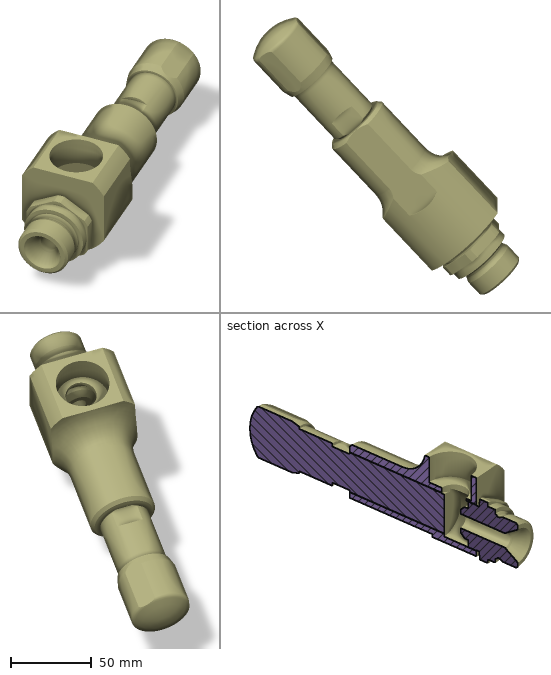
import cadquery as cq
import math


block_width = 55.0
block_top = 37.0
block_length = 41.3
turned_radius = 32.5
turned_center_z = 11.3
barrel_radius = 21.15
barrel_end = 101.2
barrel_chamfer = 2.1
flare_radius = 18.0
flare_end = block_length + flare_radius
underside_flat_z = -19.1
underside_flat_start = 35.6
cutter_radius = 25.0

port_radius = 16.6
port_depth = 18.5
port_y = 21.1
passage_radius = 9.6
passage_y = 18.1
fitting_recess_depth = 25.8

shank_radius = 14.4
stem_radius = 15.85
stem_chamfer = stem_radius - shank_radius
wrench_half_width = 13.5
wrench_flat_end = 114.6
knob_radius = 19.1
knob_start = 141.0
knob_taper_end = 146.7
knob_base_radius = 17.5
knob_straight_end = 172.6
knob_tip = 180.6
dome_radius = 31.0
dome_edge_y = 175.2
knob_flat_distance = 18.1
knob_flat_count = 3

thread_radius = 16.7
spigot_radius = 11.8
spigot_end = 12.9
nose_chamfer = 3.3
spigot_thread_end = 7.0
washer_radius = 19.6
washer_start = -1.8
hex_across_flats = 41.0
hex_turned_radius = 22.5
hex_start = -2.4
hex_end = -9.1
flange_radius = 19.75
flange_end = -14.9
collar_end = -15.6
groove_radius = 15.3
groove_start = -16.6
groove_end = -18.0
thread_start = -21.1
fitting_end = -32.9
end_chamfer = 1.5
cone_mouth_radius = 12.2
cone_depth = 9.0
cone_throat_radius = 6.2
bore_radius = 5.1
bore_lead_depth = 1.1


def turned(profile):
    """Revolve a closed profile of (radius, y) points around the Y axis."""
    return profile.close().revolve(360, (0, 0, 0), (0, 1, 0))


def cylinder_z(radius, y, bottom, top):
    """Upright cylinder centred on X = 0."""
    return cq.Workplane("XY").workplane(offset=bottom).center(0, y).circle(radius).extrude(top - bottom)


def block_outline():
    """Full-length bar with the block's cross-section: three flat sides and turned arcs."""
    half_width = block_width / 2
    top_half_width = math.sqrt(turned_radius**2 - (block_top - turned_center_z) ** 2)
    side_half_height = math.sqrt(turned_radius**2 - half_width**2)
    side_top = turned_center_z + side_half_height
    side_bottom = turned_center_z - side_half_height
    corner_angle = (math.atan2(side_half_height, half_width)
                    + math.atan2(block_top - turned_center_z, top_half_width)) / 2
    corner_x = turned_radius * math.cos(corner_angle)
    corner_z = turned_center_z + turned_radius * math.sin(corner_angle)
    return (
        cq.Workplane("XZ")
        .moveTo(-top_half_width, block_top)
        .lineTo(top_half_width, block_top)
        .threePointArc((corner_x, corner_z), (half_width, side_top))
        .lineTo(half_width, side_bottom)
        .threePointArc((0, turned_center_z - turned_radius), (-half_width, side_bottom))
        .lineTo(-half_width, side_top)
        .threePointArc((-corner_x, corner_z), (-top_half_width, block_top))
        .close()
        .extrude(-barrel_end)
    )


def barrel_envelope():
    """Turned barrel that flares out to clear the block."""
    outer_radius = block_width
    flare_offset = flare_radius * math.sqrt(0.5)
    flare_center_r = barrel_radius + flare_radius
    return turned(
        cq.Workplane("XY")
        .moveTo(0, 0)
        .lineTo(outer_radius, 0)
        .lineTo(outer_radius, block_length)
        .lineTo(flare_center_r, block_length)
        .threePointArc((flare_center_r - flare_offset, flare_end - flare_offset), (barrel_radius, flare_end))
        .lineTo(barrel_radius, barrel_end - barrel_chamfer)
        .lineTo(barrel_radius - barrel_chamfer, barrel_end)
        .lineTo(0, barrel_end)
    )


def milled_slot(start, end, bottom, top):
    """Cut of an upright cutter moved along Y, reaching from start to end at X = 0."""
    return (
        cq.Workplane("XY")
        .workplane(offset=bottom)
        .center(0, (start + end) / 2)
        .slot2D(end - start, 2 * cutter_radius, 90)
        .extrude(top - bottom)
    )


def underside_cut():
    """Flat milled under the barrel, ending in a round wall at the block."""
    return milled_slot(
        underside_flat_start, barrel_end + cutter_radius, turned_center_z - turned_radius, underside_flat_z
    )


def make_housing(cartridge_recess):
    """Block and barrel with the ports and the bores for the other two bodies."""
    port_floor = block_top - port_depth
    fitting_recess = cq.Workplane("XZ").circle(thread_radius).extrude(-fitting_recess_depth)
    return (
        block_outline()
        .intersect(barrel_envelope())
        .cut(underside_cut())
        .cut(cylinder_z(port_radius, port_y, port_floor, block_top))
        .cut(cylinder_z(passage_radius, passage_y, 0, port_floor))
        .cut(fitting_recess)
        .cut(cartridge_recess)
    )


def shank():
    """Part of the cartridge inside the housing."""
    return turned(
        cq.Workplane("XY")
        .moveTo(0, fitting_recess_depth)
        .lineTo(shank_radius, fitting_recess_depth)
        .lineTo(shank_radius, barrel_end)
        .lineTo(0, barrel_end)
    )


def stem():
    """Exposed stem with two opposite wrench flats."""
    body = turned(
        cq.Workplane("XY")
        .moveTo(0, barrel_end)
        .lineTo(shank_radius, barrel_end)
        .lineTo(stem_radius, barrel_end + stem_chamfer)
        .lineTo(stem_radius, knob_start)
        .lineTo(0, knob_start)
    )
    wrench_cut = milled_slot(
        barrel_end - 2 * cutter_radius, wrench_flat_end, wrench_half_width, stem_radius
    )
    return body.cut(wrench_cut).cut(wrench_cut.mirror("XY"))


def knob():
    """Domed knob with three grip flats."""
    dome_center_y = knob_tip - dome_radius
    dome_edge_r = math.sqrt(dome_radius**2 - (dome_edge_y - dome_center_y) ** 2)
    mid_r = dome_edge_r / 2
    mid_y = dome_center_y + math.sqrt(dome_radius**2 - mid_r**2)
    body = turned(
        cq.Workplane("XY")
        .moveTo(0, knob_start)
        .lineTo(knob_base_radius, knob_start)
        .lineTo(knob_radius, knob_taper_end)
        .lineTo(knob_radius, knob_straight_end)
        .tangentArcPoint((dome_edge_r, dome_edge_y), relative=False)
        .threePointArc((mid_r, mid_y), (0, knob_tip))
    )
    cut_depth = knob_radius - knob_flat_distance
    cut_length = knob_tip - knob_start
    for index in range(knob_flat_count):
        flat_cut = (
            cq.Workplane("XY")
            .box(cut_depth, cut_length, 2 * knob_radius, centered=(False, False, True))
            .translate((knob_flat_distance, knob_start, 0))
            .rotate((0, 0, 0), (0, 1, 0), 180 + index * 360 / knob_flat_count)
        )
        body = body.cut(flat_cut)
    return body


def spigot():
    """Threaded end of the fitting inside the housing, with a narrower nose."""
    return turned(
        cq.Workplane("XY")
        .moveTo(0, 0)
        .lineTo(thread_radius, 0)
        .lineTo(thread_radius, spigot_thread_end)
        .lineTo(spigot_radius, spigot_thread_end)
        .lineTo(spigot_radius, spigot_end - nose_chamfer)
        .lineTo(spigot_radius - nose_chamfer, spigot_end)
        .lineTo(0, spigot_end)
    )


def fitting_bore():
    """Through bore with a wide cone at the outer end and a short lead-in behind it."""
    lead_start = fitting_end + cone_depth
    return turned(
        cq.Workplane("XY")
        .moveTo(0, fitting_end)
        .lineTo(cone_mouth_radius, fitting_end)
        .lineTo(cone_throat_radius, lead_start)
        .lineTo(bore_radius, lead_start + bore_lead_depth)
        .lineTo(bore_radius, spigot_end)
        .lineTo(0, spigot_end)
    )


def make_fitting():
    """Hollow fitting with a hexagon, a flange and a grooved connecting end."""
    outside = turned(
        cq.Workplane("XY")
        .moveTo(0, 0)
        .lineTo(thread_radius, 0)
        .lineTo(thread_radius, washer_start)
        .lineTo(washer_radius, washer_start)
        .lineTo(washer_radius, hex_start)
        .lineTo(hex_turned_radius, hex_start)
        .lineTo(hex_turned_radius, hex_end)
        .lineTo(flange_radius, hex_end)
        .lineTo(flange_radius, flange_end)
        .lineTo(thread_radius, flange_end)
        .lineTo(thread_radius, collar_end)
        .lineTo(groove_radius, groove_start)
        .lineTo(groove_radius, groove_end)
        .lineTo(thread_radius, thread_start)
        .lineTo(thread_radius, fitting_end + end_chamfer)
        .lineTo(thread_radius - end_chamfer, fitting_end)
        .lineTo(0, fitting_end)
    )
    hex_bar = (
        cq.Workplane("XZ")
        .polygon(6, hex_across_flats, circumscribed=True)
        .extrude(-fitting_end)
    )
    return outside.intersect(hex_bar).union(spigot()).cut(fitting_bore())


housing = make_housing(shank())
cartridge = shank().union(stem()).union(knob())
fitting = make_fitting()

result = cq.Compound.makeCompound([housing.val(), cartridge.val(), fitting.val()])